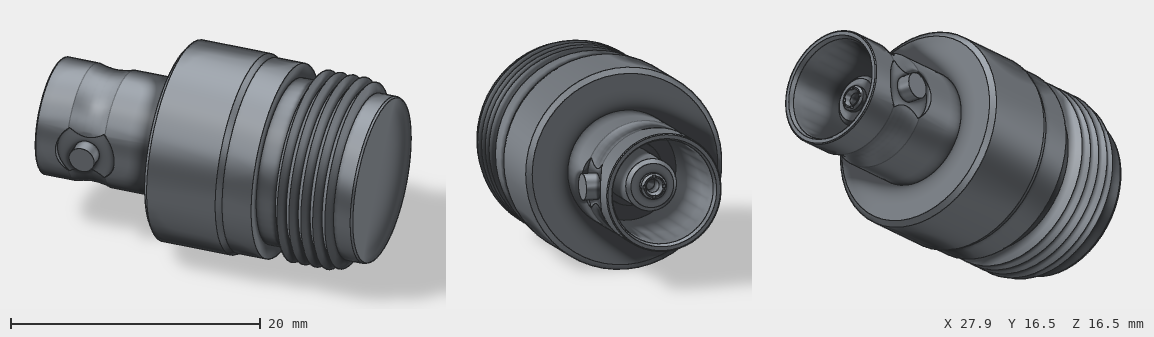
import cadquery as cq
import math

length = 27.9

barrel_radius = 9.63 / 2
barrel_edge = 0.08
bayonet_x = 4.27
groove_half_width = 1.55
groove_depth = 0.25
spotface_radius = 2.5
spotface_height = 4.32
pin_radius = 2.15 / 2
pin_reach = 5.52

flange_start = 10.5
flange_end = 16.68
flange_radius = 16.5 / 2
flange_chamfer_length = 0.33
flange_chamfer_height = 0.45
shoulder_start = 17.2
shoulder_end = 19.67
shoulder_radius = 8.0

neck_radius = 6.84
thread_start = 21.32
full_rings = 4
full_rings_length = 4.07
thread_pitch = full_rings_length / full_rings
thread_root_radius = 7.1
thread_crest_radius = 7.87
last_ring_width = 0.9
last_ring_crest_radius = 7.65
end_chamfer_length = 0.2
end_chamfer_height = 0.08

bore_mouth_radius = 4.4
bore_radius = 4.25
bore_mouth_depth = 0.4
bore_floor_x = 9.76
bore_floor_radius = 4.05

insulator_tip_x = 3.18
insulator_radius = 4.27 / 2
insulator_chamfer = 0.33
insulator_base_radius = 2.68
insulator_base_height = 0.85

contact_radius = 1.05
contact_tip_x = 2.6
contact_edge = 0.2
contact_mouth_radius = 0.75
contact_mouth_depth = 0.45
contact_bore_radius = 0.53
contact_bore_depth = 1.95
drill_point_angle = 118.0
drill_point_length = contact_bore_radius / math.tan(math.radians(drill_point_angle / 2))
contact_notch_width = 0.25
contact_notch_depth = 0.08


def revolve_profile(profile):
    """Close a sketch of (x, radius) points and turn it around the X axis."""
    return profile.close().revolve(360, (0, 0, 0), (1, 0, 0))


def make_body():
    profile = (
        cq.Workplane("XY")
        .moveTo(0, 0)
        .lineTo(0, barrel_radius - barrel_edge)
        .lineTo(barrel_edge, barrel_radius)
        .lineTo(bayonet_x - groove_half_width, barrel_radius)
        .threePointArc(
            (bayonet_x, barrel_radius - groove_depth),
            (bayonet_x + groove_half_width, barrel_radius),
        )
        .lineTo(flange_start, barrel_radius)
        .lineTo(flange_start, flange_radius - flange_chamfer_height)
        .lineTo(flange_start + flange_chamfer_length, flange_radius)
        .lineTo(flange_end, flange_radius)
        .lineTo(shoulder_start, shoulder_radius)
        .lineTo(shoulder_end, shoulder_radius)
        .lineTo(shoulder_end, neck_radius)
        .lineTo(thread_start, neck_radius)
    )
    for ring in range(full_rings):
        ring_start = thread_start + ring * thread_pitch
        profile = profile.lineTo(ring_start + thread_pitch / 2, thread_crest_radius)
        profile = profile.lineTo(ring_start + thread_pitch, thread_root_radius)
    last_ring_start = thread_start + full_rings * thread_pitch
    thread_end = last_ring_start + last_ring_width
    profile = (
        profile.lineTo(last_ring_start + last_ring_width / 2, last_ring_crest_radius)
        .lineTo(thread_end, neck_radius)
        .lineTo(length - end_chamfer_length, neck_radius)
        .lineTo(length, neck_radius - end_chamfer_height)
        .lineTo(length, 0)
    )
    return revolve_profile(profile)


def make_bore():
    return revolve_profile(
        cq.Workplane("XY")
        .moveTo(0, 0)
        .lineTo(0, bore_mouth_radius)
        .lineTo(bore_mouth_depth, bore_radius)
        .lineTo(bore_floor_x, bore_floor_radius)
        .lineTo(bore_floor_x, 0)
    )


def make_insulator():
    base_x = bore_floor_x - insulator_base_height
    return revolve_profile(
        cq.Workplane("XY")
        .moveTo(insulator_tip_x, 0)
        .lineTo(insulator_tip_x, insulator_radius - insulator_chamfer)
        .lineTo(insulator_tip_x + insulator_chamfer, insulator_radius)
        .lineTo(base_x, insulator_radius)
        .lineTo(base_x, insulator_base_radius)
        .lineTo(bore_floor_x, insulator_base_radius)
        .lineTo(bore_floor_x, 0)
    )


def make_contact_pin():
    return revolve_profile(
        cq.Workplane("XY")
        .moveTo(contact_tip_x, 0)
        .lineTo(contact_tip_x, contact_radius - contact_edge)
        .lineTo(contact_tip_x + contact_edge, contact_radius)
        .lineTo(insulator_tip_x, contact_radius)
        .lineTo(insulator_tip_x, 0)
    )


def make_contact_bore():
    bore_end = contact_tip_x + contact_bore_depth
    return revolve_profile(
        cq.Workplane("XY")
        .moveTo(contact_tip_x, 0)
        .lineTo(contact_tip_x, contact_mouth_radius)
        .lineTo(contact_tip_x + contact_mouth_depth, contact_bore_radius)
        .lineTo(bore_end - drill_point_length, contact_bore_radius)
        .lineTo(bore_end, 0)
    )


def notch_contact(contact):
    """Cut two shallow crossing slots across the rim of the contact tip."""
    slot = cq.Workplane("XY").box(
        contact_notch_depth,
        2 * contact_radius,
        contact_notch_width,
        centered=(False, True, True),
    )
    for angle in (0, 90):
        crossing = slot.rotate((0, 0, 0), (1, 0, 0), angle)
        contact = contact.cut(crossing.translate((contact_tip_x, 0, 0)))
    return contact


def side_cylinder(radius, inner, outer, side):
    """Cylinder along Y at the bayonet pins, on the +Y (side=1) or -Y (side=-1) half."""
    return cq.Workplane("XY").add(
        cq.Solid.makeCylinder(
            radius,
            outer - inner,
            cq.Vector(bayonet_x, side * inner, 0),
            cq.Vector(0, side, 0),
        )
    )


body = make_body()
for side in (1, -1):
    body = body.cut(side_cylinder(spotface_radius, spotface_height, pin_reach, side))
    body = body.union(side_cylinder(pin_radius, 0, pin_reach, side))

inner_parts = make_insulator().union(notch_contact(make_contact_pin())).cut(make_contact_bore())

result = body.cut(make_bore()).union(inner_parts)